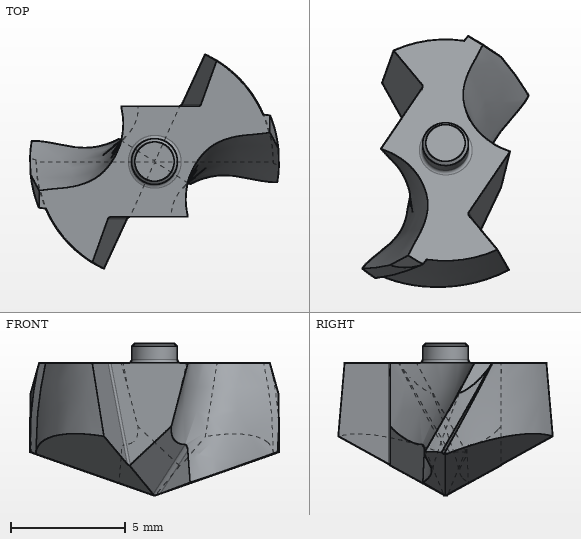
import cadquery as cq
import math


body_height = 5.81
margin_radius = 5.45
clearance_radius = 5.19
twist_per_height = 6.055
total_twist = twist_per_height * body_height

margin_start_angle = 14.0
margin_end_angle = 21.8
clearance_start_angle = 23.4

flute_points = [
    (4.82, 1.23),
    (4.2, 1.18),
    (3.49, 1.08),
    (2.57, 0.72),
    (1.48, -0.84),
    (1.37, -1.64),
    (1.46, -2.42),
]
flute_exit_angle = -61.0

flat_offset = 2.42
notch_corner_x = 2.01
notch_wall_angle = 70.3
notch_lean = 0.19
notch_fillet = 0.13

lip_slope = 0.35
relief_slope = 0.39
lip_side_slope = -0.04

gash_wall_direction = (11.0, -7.0)
gash_slope_x = 0.94
gash_slope_y = -0.97
gash_fillet = 0.2

margin_flat_x = 5.05
margin_flat_slope = 0.28

pin_radius = 1.0
pin_height = 0.86
pin_chamfer = 0.14
pin_base_fillet = 0.15

reach = 13.08


def polar(radius, angle):
    """Point at a radius and an angle in degrees."""
    return (radius * math.cos(math.radians(angle)), radius * math.sin(math.radians(angle)))


def opposite(point):
    """The point half a turn around the axis."""
    return (-point[0], -point[1])


def half_turn(solid):
    return solid.rotate((0, 0, 0), (0, 0, 1), 180)


def cut_both(body, cutter):
    """Cut a feature from both lobes."""
    return body.cut(cutter).cut(half_turn(cutter))


def twisted_body():
    """Fluted cross-section, twisted about the axis."""
    exit_point = polar(clearance_radius, flute_exit_angle)
    flute = [polar(margin_radius, margin_start_angle)] + flute_points + [exit_point]
    margin_middle = polar(margin_radius, (margin_start_angle + margin_end_angle) / 2)
    margin_end = polar(margin_radius, margin_end_angle)
    clearance_start = polar(clearance_radius, clearance_start_angle)
    clearance_end_angle = flute_exit_angle + 180
    clearance_middle = polar(clearance_radius, (clearance_start_angle + clearance_end_angle) / 2)
    section = cq.Workplane("XY").moveTo(*exit_point)
    for place in (lambda point: point, opposite):
        section = (
            section.spline([place(point) for point in reversed(flute[:-1])], includeCurrent=True)
            .threePointArc(place(margin_middle), place(margin_end))
            .lineTo(*place(clearance_start))
            .threePointArc(place(clearance_middle), place(opposite(exit_point)))
        )
    body = section.close().twistExtrude(body_height, total_twist)
    return body.rotate((0, 0, 0), (0, 0, 1), -total_twist)


def notch():
    """Straight, leaning notch between the flat and the trailing wall of a lobe."""
    wall_x = notch_corner_x + reach / math.tan(math.radians(notch_wall_angle))
    profile = [
        (notch_corner_x, flat_offset),
        (wall_x, flat_offset + reach),
        (-reach, flat_offset + reach),
        (-reach, flat_offset),
    ]
    lean = notch_lean * body_height
    lower = [cq.Vector(x - lean, y, 0) for x, y in profile]
    upper = [cq.Vector(x, y, body_height) for x, y in profile]
    wires = [cq.Wire.makePolygon(points, close=True) for points in (lower, upper)]
    cutter = cq.Workplane(cq.Solid.makeLoft(wires, True))
    corner = cq.selectors.NearestToPointSelector((notch_corner_x - lean / 2, flat_offset, body_height / 2))
    return cutter.edges(corner).fillet(notch_fillet)


def below_plane(slope_x, slope_y):
    """Block under the plane z = slope_x * x + slope_y * y."""
    plane = cq.Plane(origin=(0, 0, 0), xDir=(1, 0, slope_x), normal=(-slope_x, -slope_y, 1))
    return cq.Workplane(plane).rect(2 * reach, 2 * reach).extrude(-reach)


def gash():
    """Wedge between a vertical wall and a sloping floor, rounded where they meet."""
    wall_x, wall_y = gash_wall_direction
    root = cq.Vector(wall_x, wall_y, gash_slope_x * wall_x + gash_slope_y * wall_y).normalized()
    wall_normal = cq.Vector(wall_y, -wall_x, 0).normalized()
    downward = root.cross(wall_normal)
    floor_normal = cq.Vector(gash_slope_x, gash_slope_y, -1)
    floor = floor_normal.cross(root).normalized()
    if floor.dot(wall_normal) < 0:
        floor = -floor
    floor_end = (reach * floor.dot(wall_normal), reach * floor.dot(downward))
    plane = cq.Plane(origin=root * -reach, xDir=wall_normal, normal=root)
    cutter = (
        cq.Workplane(plane)
        .polyline([(0, 0), floor_end, (reach, reach), (0, reach)])
        .close()
        .extrude(2 * reach)
    )
    return cutter.edges(cq.selectors.NearestToPointSelector((0, 0, 0))).fillet(gash_fillet)


def margin_flat():
    """Leaning flat across the back end of a margin."""
    return (
        cq.Workplane("XZ")
        .polyline([
            (margin_flat_x, body_height),
            (margin_flat_x + margin_flat_slope * body_height, 0),
            (reach, 0),
            (reach, body_height),
        ])
        .close()
        .extrude(reach, both=True)
    )


def pin():
    """Chamfered pin with a concave fillet at its base."""
    fillet_mid = pin_base_fillet * (1 - math.sqrt(0.5))
    return (
        cq.Workplane("XZ", origin=(0, 0, body_height))
        .lineTo(pin_radius + pin_base_fillet, 0)
        .threePointArc((pin_radius + fillet_mid, fillet_mid), (pin_radius, pin_base_fillet))
        .lineTo(pin_radius, pin_height - pin_chamfer)
        .lineTo(pin_radius - pin_chamfer, pin_height)
        .lineTo(0, pin_height)
        .close()
        .revolve(360, (0, 0, 0), (0, 1, 0))
    )


result = twisted_body()
result = cut_both(result, notch())
result = cut_both(result, below_plane(lip_slope, relief_slope))
result = cut_both(result, below_plane(lip_slope, lip_side_slope))
result = cut_both(result, gash())
result = cut_both(result, margin_flat())
result = result.union(pin())